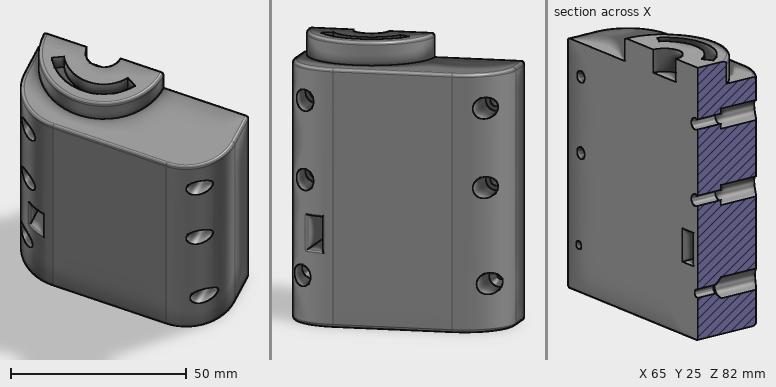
import cadquery as cq

width = 65.0
depth = 25.0
total_height = 82.0
body_height = 75.0
corner_radius = 15.0
edge_round = 1.0

cap_x = -12.3
cap_radius = 18.5
bore_diameter = 10.4
slot_inner_radius = 11.4
slot_outer_radius = 14.9
slot_depth = 4.9
slot_span = 120.0

head_diameter = 6.2
head_depth = 16.4
clearance_diameter = 3.5
clearance_x = 26.5
clearance_heights = (41.9, 64.9)
pilot_diameter = 2.5
pilot_x = 27.5
pilot_height = 14.0

window_width = 5.0
window_height = 10.0
window_x = -23.05
window_z = 26.8
window_round = 0.5

cap_height = total_height - body_height


def make_body():
    block = cq.Workplane("XY").box(width, depth, body_height, centered=(True, False, False))
    block = block.translate((0, -depth, 0))
    block = block.edges("|Z and <Y").fillet(corner_radius)
    return block.faces("<Z or >Z").edges("not >Y").fillet(edge_round)


def half_disc(radius, height, base_z):
    """Half cylinder on the cap axis, lying on the -Y side of the mating face."""
    return (
        cq.Workplane("XY", origin=(cap_x, 0, base_z))
        .moveTo(-radius, 0)
        .threePointArc((0, -radius), (radius, 0))
        .close()
        .extrude(height)
    )


def make_cap():
    return half_disc(cap_radius, cap_height, body_height).faces(">Z").edges("not >Y").fillet(edge_round)


def make_arc_slot():
    slot_profile = (
        cq.Workplane("XZ", origin=(cap_x, 0, total_height - slot_depth))
        .moveTo(slot_inner_radius, 0)
        .lineTo(slot_outer_radius, 0)
        .lineTo(slot_outer_radius, slot_depth)
        .lineTo(slot_inner_radius, slot_depth)
        .close()
    )
    slot = slot_profile.revolve(slot_span, (0, 0, 0), (0, 1, 0))
    start_angle = -90 - slot_span / 2
    axis_base = (cap_x, 0, 0)
    axis_tip = (cap_x, 0, 1)
    return slot.rotate(axis_base, axis_tip, start_angle)


def front_cylinder(x, z, diameter, length):
    """Cylinder running into the part from the plane of the front face."""
    return cq.Workplane("XZ", origin=(x, -depth, z)).circle(diameter / 2).extrude(-length)


def counterbored_hole(x, z):
    return front_cylinder(x, z, clearance_diameter, depth).union(front_cylinder(x, z, head_diameter, head_depth))


def countersunk_hole(x, z):
    """Head recess that ends in a 90 degree cone down to the pilot hole."""
    head_radius = head_diameter / 2
    pilot_radius = pilot_diameter / 2
    cone_end = head_depth + head_radius - pilot_radius
    return (
        cq.Workplane("XY", origin=(x, -depth, z))
        .lineTo(head_radius, 0)
        .lineTo(head_radius, head_depth)
        .lineTo(pilot_radius, cone_end)
        .lineTo(pilot_radius, depth)
        .lineTo(0, depth)
        .close()
        .revolve(360, (0, 0, 0), (0, 1, 0))
    )


def cut_window(part):
    window = (
        cq.Workplane("XZ", origin=(window_x, 0, window_z))
        .rect(window_width, window_height)
        .extrude(depth)
    )
    reach_x = window_width / 2 + window_round
    reach_z = window_height / 2 + window_round
    rim = cq.selectors.BoxSelector(
        (window_x - reach_x, -depth, window_z - reach_z),
        (window_x + reach_x, -depth + corner_radius / 2, window_z + reach_z),
    )
    return part.cut(window).edges(rim).fillet(window_round)


result = make_body().union(make_cap())
result = result.cut(half_disc(bore_diameter / 2, cap_height, body_height))
result = result.cut(make_arc_slot())
result = cut_window(result)
for side in (-1, 1):
    for height in clearance_heights:
        result = result.cut(counterbored_hole(side * clearance_x, height))
    result = result.cut(countersunk_hole(side * pilot_x, pilot_height))